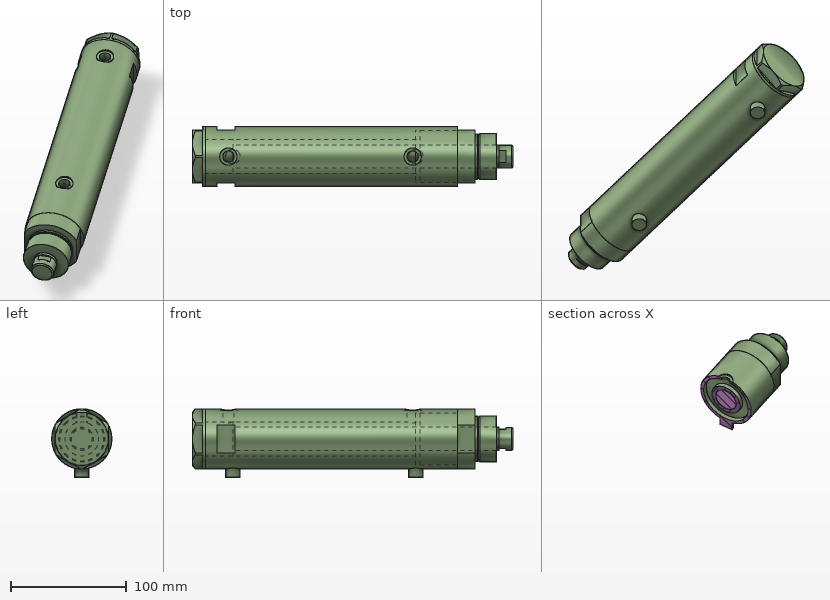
import cadquery as cq
import math


overall_length = 277.0
outer_dia = 52.0
outer_radius = outer_dia / 2
across_flats = 46.0
flat_offset = across_flats / 2

hexagon_sides = 6
hexagon_turn = 180 / hexagon_sides
hexagon_length = 9.0
hexagon_chamfer_length = 2.5
barrel_start = 11.4

barrel_end = 229.0
bore_dia = 29.4
barrel_flat_start = 21.3
flat_length = 15.2

port_x = 31.0
port_spacing = 159.3
port_dia = 9.7
spotface_dia = 15.0
spotface_height = 24.7
stud_x = 35.0
stud_spacing = 158.1
stud_dia = 12.5
stud_bottom = -33.2

gland_nose_start = 192.8
gland_start = 196.6
gland_dia = 45.1
head_flange_end = barrel_end + flat_length
neck_dia = 39.3
groove_start = 246.2
groove_end = 247.0
groove_dia = 38.0
collar_start = 248.5
collar_end = 262.5
collar_dia = 40.0

piston_end = 35.2
rod_dia = 20.2
rod_tip_start = 265.0
rod_tip_dia = 20.0
rod_flat_end = 271.0
rod_across_flats = 17.0
rod_chamfer = 1.0


def cylinder_x(start, end, diameter):
    """Solid cylinder on the X axis."""
    return cq.Workplane("YZ").workplane(offset=start).circle(diameter / 2).extrude(end - start)


def cylinder_z(x, bottom, top, diameter):
    """Solid upright cylinder standing on the X axis line at the given x."""
    return cq.Workplane("XY", origin=(x, 0, bottom)).circle(diameter / 2).extrude(top - bottom)


def cut_flats(body, start, end, width, direction):
    """Cut a pair of parallel wrench flats, facing +/- the given direction ("Y" or "Z")."""
    length = end - start
    for side in (-1, 1):
        offset = side * (width + outer_dia) / 2
        y, z = (offset, 0) if direction == "Y" else (0, offset)
        cutter = cq.Workplane("XY").box(length, outer_dia, outer_dia)
        body = body.cut(cutter.translate((start + length / 2, y, z)))
    return body


def make_end_cap():
    """Hexagon with a chamfered outer end and a round flange against the barrel."""
    corner_dia = across_flats / math.cos(math.pi / hexagon_sides)
    hexagon = (
        cq.Workplane("YZ")
        .transformed(rotate=(0, 0, hexagon_turn))
        .polygon(hexagon_sides, corner_dia)
        .extrude(hexagon_length)
    )
    turned_profile = [
        (0, 0),
        (0, flat_offset),
        (hexagon_chamfer_length, outer_radius),
        (hexagon_length, outer_radius),
        (hexagon_length, 0),
    ]
    turned_blank = cq.Workplane("XY").polyline(turned_profile).close().revolve(360, (0, 0), (1, 0))
    flange = cylinder_x(hexagon_length, barrel_start, outer_dia)
    return hexagon.intersect(turned_blank).union(flange)


def make_barrel():
    """Bored tube, counterbored for the gland, with wrench flats, two spotfaced ports and two studs."""
    barrel = cylinder_x(barrel_start, barrel_end, outer_dia)
    barrel = cut_flats(barrel, barrel_flat_start, barrel_flat_start + flat_length, across_flats, "Y")
    for x in (stud_x, stud_x + stud_spacing):
        barrel = barrel.union(cylinder_z(x, stud_bottom, -gland_dia / 2, stud_dia))
    for x in (port_x, port_x + port_spacing):
        barrel = barrel.cut(cylinder_z(x, spotface_height, outer_radius, spotface_dia))
        barrel = barrel.cut(cylinder_z(x, 0, outer_radius, port_dia))
    barrel = barrel.cut(cylinder_x(barrel_start, barrel_end, bore_dia))
    return barrel.cut(cylinder_x(gland_nose_start, barrel_end, gland_dia))


def make_head():
    """Gland with a narrower nose, flange with wrench flats, grooved neck and outer collar."""
    flange = cylinder_x(barrel_end, head_flange_end, outer_dia)
    head = cut_flats(flange, barrel_end, head_flange_end, across_flats, "Y")
    head = head.union(cylinder_x(gland_start, barrel_end, gland_dia))
    head = head.union(cylinder_x(gland_nose_start, gland_start, bore_dia))
    head = head.union(cylinder_x(head_flange_end, groove_start, neck_dia))
    head = head.union(cylinder_x(groove_start, groove_end, groove_dia))
    shoulder = (
        cq.Workplane("YZ")
        .workplane(offset=groove_end)
        .circle(groove_dia / 2)
        .workplane(offset=collar_start - groove_end)
        .circle(collar_dia / 2)
        .loft()
    )
    head = head.union(shoulder).union(cylinder_x(collar_start, collar_end, collar_dia))
    return head.cut(cylinder_x(gland_nose_start, collar_end, rod_dia))


def make_piston_rod():
    """Piston resting on the end cap, and its rod, whose chamfered tip has wrench flats."""
    tip = cylinder_x(rod_tip_start, overall_length, rod_tip_dia).faces(">X").chamfer(rod_chamfer)
    tip = cut_flats(tip, rod_tip_start, rod_flat_end, rod_across_flats, "Z")
    rod = cylinder_x(piston_end, rod_tip_start, rod_dia)
    return cylinder_x(barrel_start, piston_end, bore_dia).union(rod).union(tip)


end_cap = make_end_cap()
barrel = make_barrel()
head = make_head()
piston_rod = make_piston_rod()

result = cq.Compound.makeCompound([end_cap.val(), barrel.val(), head.val(), piston_rod.val()])